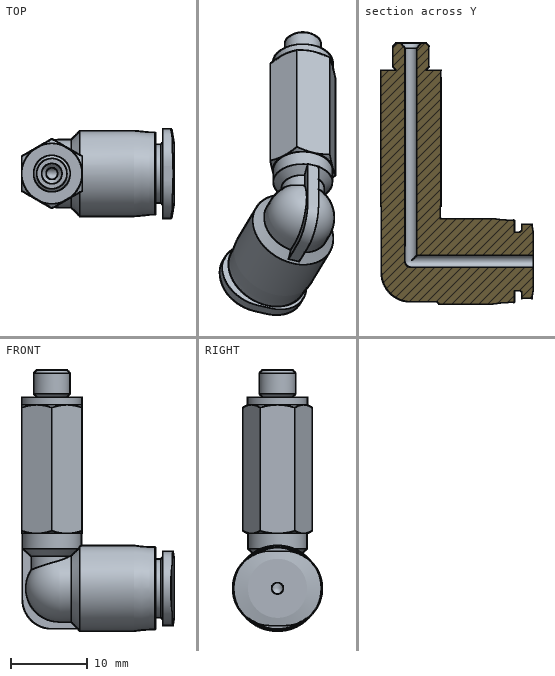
import cadquery as cq
import math


body_radius = 11.3 / 2
overall_height = 34.35
top_z = overall_height - body_radius
thread_length = 3.57
washer_thickness = 1.03
washer_bottom_z = top_z - thread_length - washer_thickness
hex_bottom_z = 7.2
collar_bottom_z = 5.2
neck_top_z = 4.2

thread_radius = 4.8 / 2
thread_chamfer = 0.4
hex_flats = 7.95
washer_radius = hex_flats / 2
hex_chamfer_angle = 30
collar_radius = 7.8 / 2
neck_radius = 2.8

elbow_radius = 4.5
elbow_center_x = 1.0
shoulder_start_x = 2.55
shoulder_end_x = shoulder_start_x + body_radius - elbow_radius
taper_start_x = 10.8
taper_end_x = 12.8
body_end_x = 13.65
body_end_radius = 10.9 / 2
body_edge_chamfer = 0.1

ring_neck_radius = 7.75 / 2
ring_neck_flare = 0.25
ring_start_x = 14.55
ring_end_x = 20.05 - hex_flats / 2
ring_width = 11.8
ring_height = 9.8
ring_face_setback = 0.3
ring_edge_chamfer = 0.17

rib_thickness = 1.5
rib_corner_radius = collar_radius
rib_corner_z = -1.45

bore_radius = 1.5 / 2
countersink_radius = 1.35
countersink_depth = 0.7


def revolve_about_z(points):
    """Revolve an (r, z) outline about the stem axis."""
    return cq.Workplane("XZ").polyline(points).close().revolve(360, (0, 0), (0, 1))


def revolve_about_x(points):
    """Revolve an (x, r) outline about the socket axis."""
    return cq.Workplane("XY").polyline(points).close().revolve(360, (0, 0), (1, 0))


def make_stem():
    thread_bottom_z = top_z - thread_length
    thread_root_radius = thread_radius - thread_chamfer
    return revolve_about_z([
        (0, 0),
        (neck_radius, 0),
        (neck_radius, neck_top_z),
        (collar_radius, collar_bottom_z),
        (collar_radius, hex_bottom_z),
        (washer_radius, hex_bottom_z),
        (washer_radius, thread_bottom_z),
        (thread_root_radius, thread_bottom_z),
        (thread_radius, thread_bottom_z + thread_chamfer),
        (thread_radius, top_z - thread_chamfer),
        (thread_root_radius, top_z),
        (0, top_z),
    ])


def make_hex():
    """Hexagon with flats facing X and conically chamfered corners."""
    corner_radius = hex_flats / 2 / math.cos(math.radians(30))
    drop = (corner_radius - washer_radius) * math.tan(math.radians(hex_chamfer_angle))
    prism = (
        cq.Workplane("XY", origin=(0, 0, hex_bottom_z))
        .transformed(rotate=(0, 0, 30))
        .polygon(6, 2 * corner_radius)
        .extrude(washer_bottom_z - hex_bottom_z)
    )
    envelope = revolve_about_z([
        (0, hex_bottom_z),
        (washer_radius, hex_bottom_z),
        (corner_radius, hex_bottom_z + drop),
        (corner_radius, washer_bottom_z - drop),
        (washer_radius, washer_bottom_z),
        (0, washer_bottom_z),
    ])
    return prism.intersect(envelope)


def make_socket():
    """Ball end of the elbow running into the stepped socket body."""
    diagonal = elbow_radius * math.sqrt(0.5)
    return (
        cq.Workplane("XY")
        .moveTo(elbow_center_x - elbow_radius, 0)
        .threePointArc((elbow_center_x - diagonal, diagonal), (elbow_center_x, elbow_radius))
        .lineTo(shoulder_start_x, elbow_radius)
        .lineTo(shoulder_end_x, body_radius)
        .lineTo(taper_start_x, body_radius)
        .lineTo(taper_end_x, body_end_radius)
        .lineTo(body_end_x - body_edge_chamfer, body_end_radius)
        .lineTo(body_end_x, body_end_radius - body_edge_chamfer)
        .lineTo(body_end_x, ring_neck_radius)
        .lineTo(ring_start_x - ring_neck_flare, ring_neck_radius)
        .lineTo(ring_start_x, ring_neck_radius + ring_neck_flare)
        .lineTo(ring_start_x, 0)
        .close()
        .revolve(360, (0, 0), (1, 0))
    )


def make_release_ring():
    """Obround plate whose outer edge is dished back by a shallow cone."""
    plate = (
        cq.Workplane("YZ", origin=(ring_start_x, 0, 0))
        .slot2D(ring_width, ring_height)
        .extrude(ring_end_x - ring_start_x)
    )
    edge_radius = ring_width / 2
    envelope = revolve_about_x([
        (ring_start_x, 0),
        (ring_start_x, edge_radius),
        (ring_end_x - ring_face_setback - ring_edge_chamfer, edge_radius),
        (ring_end_x - ring_face_setback, edge_radius - ring_edge_chamfer),
        (ring_end_x, ring_neck_radius),
        (ring_end_x, 0),
    ])
    return plate.intersect(envelope)


def make_rib():
    rib_bottom_z = rib_corner_z - rib_corner_radius
    diagonal = rib_corner_radius * math.sqrt(0.5)
    return (
        cq.Workplane("XZ")
        .moveTo(-rib_corner_radius, collar_bottom_z)
        .lineTo(-rib_corner_radius, rib_corner_z)
        .threePointArc((-diagonal, rib_corner_z - diagonal), (0, rib_bottom_z))
        .lineTo(shoulder_end_x, rib_bottom_z)
        .lineTo(shoulder_end_x, 0)
        .lineTo(0, collar_bottom_z)
        .close()
        .extrude(rib_thickness / 2, both=True)
    )


def make_passage():
    """Countersunk stem bore turning at a ball end into the socket bore."""
    stem_bore = revolve_about_z([
        (0, 0),
        (bore_radius, 0),
        (bore_radius, top_z - countersink_depth),
        (countersink_radius, top_z),
        (0, top_z),
    ])
    ball_end = cq.Workplane("XY").sphere(bore_radius)
    socket_bore = cq.Workplane("YZ").circle(bore_radius).extrude(ring_end_x)
    return stem_bore, ball_end, socket_bore


result = (
    make_stem()
    .union(make_hex())
    .union(make_socket())
    .union(make_release_ring())
    .union(make_rib())
)
for bore in make_passage():
    result = result.cut(bore)